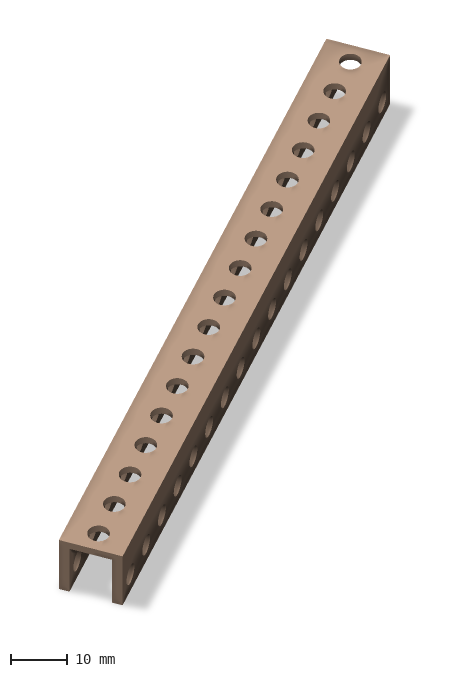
import cadquery as cq

length = 136.0
hole_count = 17
web = 1.5

pitch = length / hole_count
width = 1.5 * pitch
height = width
wall = pitch / 4
hole_diameter = pitch / 2
side_hole_height = pitch / 2
hole_positions = [(i - (hole_count - 1) / 2) * pitch for i in range(hole_count)]


def channel():
    """U-shaped channel along Y, open at the bottom."""
    body = cq.Workplane("XY").box(width, length, height, centered=(True, True, False))
    slot = cq.Workplane("XY").box(
        width - 2 * wall, length, height - web, centered=(True, True, False)
    )
    return body.cut(slot)


def top_holes():
    """Row of vertical holes through the web."""
    return (
        cq.Workplane("XY")
        .workplane(offset=height - web)
        .pushPoints([(0, y) for y in hole_positions])
        .circle(hole_diameter / 2)
        .extrude(web)
    )


def side_holes():
    """Row of cross holes through both side walls."""
    return (
        cq.Workplane("YZ")
        .pushPoints([(y, side_hole_height) for y in hole_positions])
        .circle(hole_diameter / 2)
        .extrude(width / 2, both=True)
    )


result = channel().cut(top_holes()).cut(side_holes())